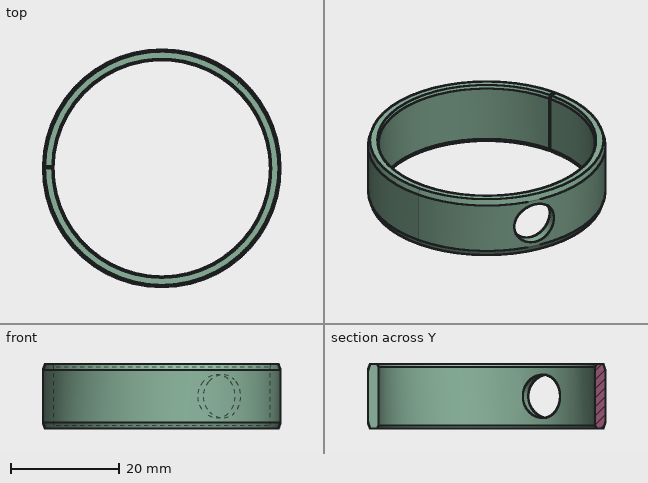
import cadquery as cq

outer_diameter = 44.0
inner_diameter = 40.05
height = 12.0
outer_radius = outer_diameter / 2
inner_radius = inner_diameter / 2

outer_bevel_width = 0.4
outer_bevel_height = 1.15
inner_bevel_width = 0.25
inner_bevel_height = 0.6

slit_width = 0.35

hole_diameter = 8.0
hole_angle = 59.0


def make_ring():
    """Revolve the bevelled wall section about Z, centred on the origin."""
    half_height = height / 2
    section = [
        (inner_radius, half_height - inner_bevel_height),
        (inner_radius + inner_bevel_width, half_height),
        (outer_radius - outer_bevel_width, half_height),
        (outer_radius, half_height - outer_bevel_height),
        (outer_radius, -half_height + outer_bevel_height),
        (outer_radius - outer_bevel_width, -half_height),
        (inner_radius + inner_bevel_width, -half_height),
        (inner_radius, -half_height + inner_bevel_height),
    ]
    return cq.Workplane("XZ").polyline(section).close().revolve(360, (0, 0), (0, 1))


def make_slit():
    """Thin block that splits the ring on its -X side."""
    block = cq.Workplane("XY").box(outer_radius, slit_width, height)
    return block.translate((-outer_radius, slit_width / 2, 0))


def make_hole():
    """Cylinder running outward from the axis through one side of the wall."""
    cylinder = cq.Workplane("YZ").circle(hole_diameter / 2).extrude(outer_diameter)
    return cylinder.rotate((0, 0, 0), (0, 0, 1), hole_angle)


result = make_ring().cut(make_slit()).cut(make_hole())